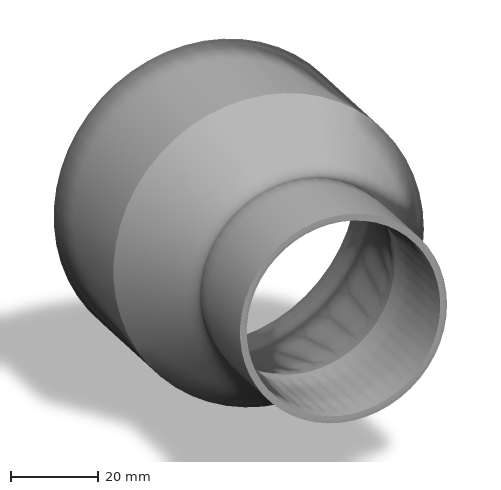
import cadquery as cq

length = 85.7
large_end_length = 38.1
small_end_length = 25.4

large_outer_diameter = 76.2
large_bore_diameter = 72.9
small_outer_diameter = 50.8
small_bore_diameter = 47.5

taper_sag = 0.35

inner_taper_start = 9.3
inner_taper_end = 56.6
bore_blend_radius = 5.6

large_outer_radius = large_outer_diameter / 2
large_bore_radius = large_bore_diameter / 2
small_outer_radius = small_outer_diameter / 2
small_bore_radius = small_bore_diameter / 2


def make_outer_body():
    """Solid reducer: two cylinders joined by a slightly concave taper."""
    taper_start = large_end_length
    taper_end = length - small_end_length
    taper_middle = (
        (taper_start + taper_end) / 2,
        (large_outer_radius + small_outer_radius) / 2 - taper_sag,
    )
    profile = (
        cq.Workplane("XY")
        .lineTo(0, large_outer_radius)
        .lineTo(taper_start, large_outer_radius)
        .threePointArc(taper_middle, (taper_end, small_outer_radius))
        .lineTo(length, small_outer_radius)
        .lineTo(length, 0)
        .close()
    )
    return profile.revolve(360, (0, 0, 0), (1, 0, 0))


def make_bore():
    """Through passage: large bore, cone and small bore, rounded where the cone leaves the large bore."""
    profile = (
        cq.Workplane("XY")
        .lineTo(0, large_bore_radius)
        .lineTo(inner_taper_start, large_bore_radius)
        .lineTo(inner_taper_end, small_bore_radius)
        .lineTo(length, small_bore_radius)
        .lineTo(length, 0)
        .close()
    )
    bore = profile.revolve(360, (0, 0, 0), (1, 0, 0))
    cone_start = cq.selectors.NearestToPointSelector((inner_taper_start, 0, 0))
    return bore.edges("%CIRCLE").edges(cone_start).fillet(bore_blend_radius)


result = make_outer_body().cut(make_bore())